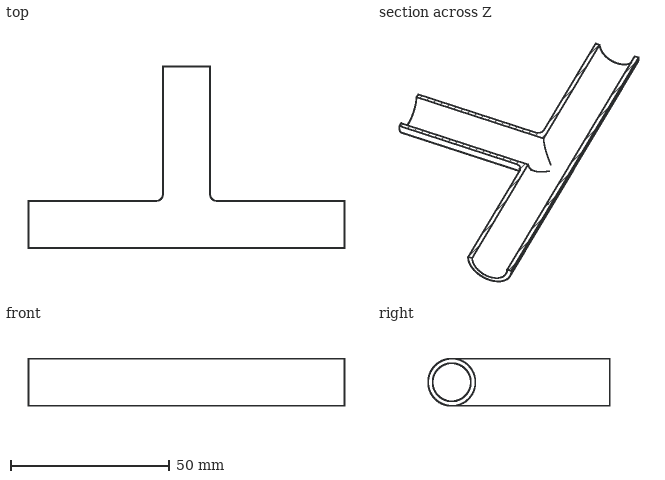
import cadquery as cq

TUBE_DIAMETER = 15.0
BORE_DIAMETER = 12.0
RUN_LENGTH = 100.0
BRANCH_REACH = 50.0
JOINT_FILLET_RADIUS = 2.0


def run_cylinder(diameter):
    """Solid cylinder along X, centred on the origin."""
    return cq.Workplane("YZ").circle(diameter / 2).extrude(RUN_LENGTH / 2, both=True)


def branch_cylinder(diameter):
    """Solid cylinder along +Y, from the run axis to the branch end."""
    return cq.Workplane("XZ").circle(diameter / 2).extrude(-BRANCH_REACH)


def tee(diameter):
    """Run and branch cylinders of one diameter joined as a tee."""
    return run_cylinder(diameter).union(branch_cylinder(diameter))


outside = tee(TUBE_DIAMETER)
outside = outside.edges("%ELLIPSE").fillet(JOINT_FILLET_RADIUS)

result = outside.cut(tee(BORE_DIAMETER))